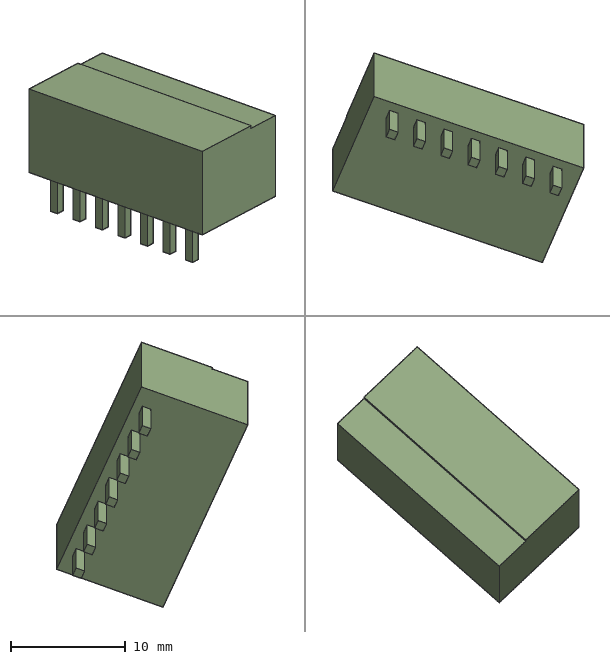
import cadquery as cq

length = 19.58
depth = 10.0
total_height = 11.6
pin_length = 3.5
body_height = total_height - pin_length

step_width = 3.33
step_drop = 0.25

pin_count = 7
pin_pitch = 2.55
pin_size = 0.8
pin_row_inset = 1.2


def make_housing():
    """Block with its back top edge stepped down, front face at Y = 0 and underside at Z = 0."""
    step_start = depth - step_width
    profile = [
        (0, 0),
        (depth, 0),
        (depth, body_height - step_drop),
        (step_start, body_height - step_drop),
        (step_start, body_height),
        (0, body_height),
    ]
    return cq.Workplane("YZ").polyline(profile).close().extrude(length / 2, both=True)


def make_pins():
    """Row of pins hanging from the underside, centred along the length."""
    return (
        cq.Workplane("XY")
        .center(0, pin_row_inset)
        .rarray(pin_pitch, 0.2, pin_count, 1)
        .rect(pin_size, pin_size)
        .extrude(-pin_length)
    )


result = make_housing().union(make_pins())